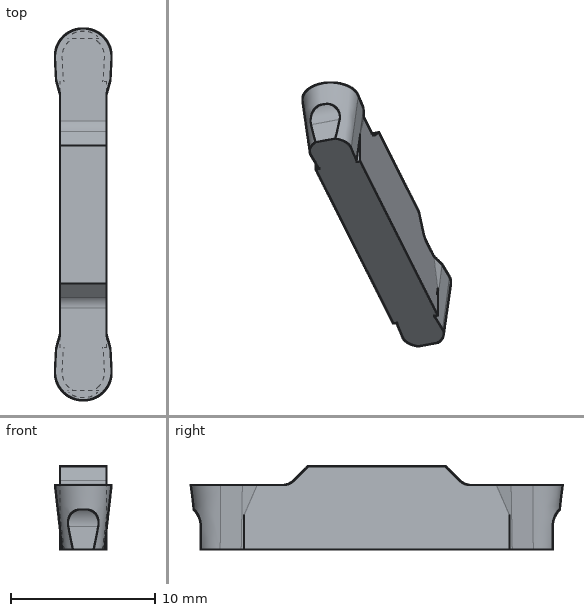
import cadquery as cq
import math

length = 25.8
head_width = 3.95
body_width = 3.22
deck_height = 4.5
ridge_height = 5.78
ridge_half_length = 4.77
ramp_angle = 45.0
ramp_foot_radius = 1.03
body_end = 9.2
relief_angle = 6.5
flank_angle = 3.0
flank_end = 9.31
neck_end = 8.28
neck_inner_half_width = 1.15
nose_flat = 12.2
nose_flat_height = 1.6
nose_undercut_radius = 1.7
nose_undercut_height = 2.79

nose_radius = head_width / 2
nose_center = length / 2 - nose_radius
body_half_width = body_width / 2


def make_body():
    """Parallel-sided bar with a raised, ramped middle."""
    ramp_run = (ridge_height - deck_height) / math.tan(math.radians(ramp_angle))
    ramp_foot = ridge_half_length + ramp_run
    body = (
        cq.Workplane("YZ")
        .moveTo(-body_end, 0)
        .lineTo(body_end, 0)
        .lineTo(body_end, deck_height)
        .lineTo(ramp_foot, deck_height)
        .lineTo(ridge_half_length, ridge_height)
        .lineTo(-ridge_half_length, ridge_height)
        .lineTo(-ramp_foot, deck_height)
        .lineTo(-body_end, deck_height)
        .close()
        .extrude(body_half_width, both=True)
    )
    margin = 0.25
    foot_edges = cq.selectors.BoxSelector(
        (-body_width, -ramp_foot - margin, deck_height - margin),
        (body_width, ramp_foot + margin, deck_height + margin),
    )
    return body.edges("|X").edges(foot_edges).fillet(ramp_foot_radius)


def make_head():
    """Drafted round-nose head at the +Y end."""
    flank = math.radians(flank_angle)
    tangent_x = nose_radius * math.cos(flank)
    tangent_y = nose_center - nose_radius * math.sin(flank)
    flank_x = tangent_x - (tangent_y - flank_end) * math.tan(flank)
    neck_slope = (flank_end - neck_end) / (flank_x - body_half_width)
    neck_inner_y = neck_end - (body_half_width - neck_inner_half_width) * neck_slope
    head = (
        cq.Workplane("XY")
        .moveTo(neck_inner_half_width, neck_inner_y)
        .lineTo(flank_x, flank_end)
        .lineTo(tangent_x, tangent_y)
        .threePointArc((0, length / 2), (-tangent_x, tangent_y))
        .lineTo(-flank_x, flank_end)
        .lineTo(-neck_inner_half_width, neck_inner_y)
        .close()
        .extrude(-deck_height, taper=relief_angle)
        .translate((0, 0, deck_height))
    )
    return head.cut(make_nose_undercut())


def make_nose_undercut():
    """Cutter for the nose flat and the concave sweep above it."""
    def sweep_point(angle):
        return (
            nose_flat + nose_undercut_radius * (1 - math.cos(angle)),
            nose_flat_height + nose_undercut_radius * math.sin(angle),
        )

    sweep_angle = math.asin((nose_undercut_height - nose_flat_height) / nose_undercut_radius)
    return (
        cq.Workplane("YZ")
        .moveTo(nose_flat, 0)
        .lineTo(nose_flat, nose_flat_height)
        .threePointArc(sweep_point(sweep_angle / 2), sweep_point(sweep_angle))
        .lineTo(length / 2, nose_undercut_height)
        .lineTo(length / 2, 0)
        .close()
        .extrude(head_width, both=True)
    )


head = make_head()
result = make_body().union(head).union(head.mirror("XZ"))